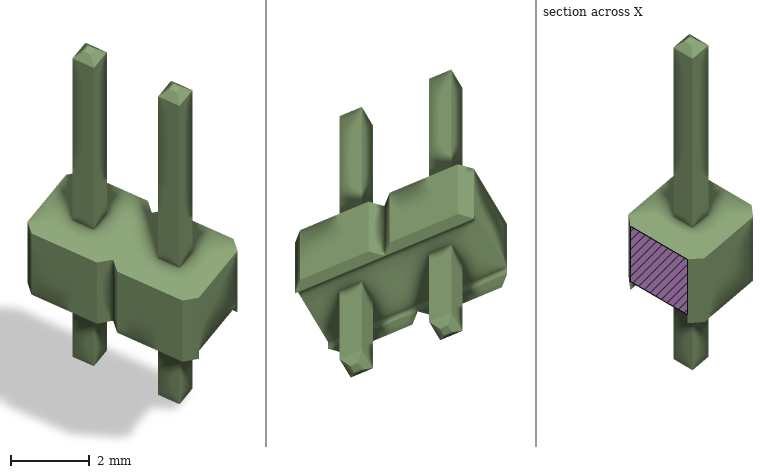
import cadquery as cq

pin_count = 2
pitch = 2.54
body_depth = 2.49
body_bottom = 3.01
body_height = 2.28
corner_chamfer = 0.3
groove_depth = 0.29

pin_length = 11.54
pin_width = 0.63
tip_height = 0.2
tip_width = 0.23

ridge_thickness = 0.31
groove_width = body_depth - 2 * ridge_thickness
row_length = pin_count * pitch
pin_positions = [(i - (pin_count - 1) / 2) * pitch for i in range(pin_count)]


def make_housing(x):
    """Block around one pin, with its vertical corners chamfered."""
    block = cq.Workplane("XY").box(pitch, body_depth, body_height, centered=(True, True, False))
    return block.edges("|Z").chamfer(corner_chamfer).translate((x, 0, body_bottom))


def make_tip(base_z, height):
    """Tapered pin end; a negative height points it downwards."""
    return (
        cq.Workplane("XY", origin=(0, 0, base_z))
        .rect(pin_width, pin_width)
        .workplane(offset=height)
        .rect(tip_width, tip_width)
        .loft(ruled=True)
    )


def make_pin(x):
    """Square pin tapered at both ends."""
    shaft_length = pin_length - 2 * tip_height
    shaft = (
        cq.Workplane("XY", origin=(0, 0, tip_height))
        .rect(pin_width, pin_width)
        .extrude(shaft_length)
    )
    lower_tip = make_tip(tip_height, -tip_height)
    upper_tip = make_tip(pin_length - tip_height, tip_height)
    return shaft.union(lower_tip).union(upper_tip).translate((x, 0, 0))


result = make_housing(pin_positions[0])
for position in pin_positions[1:]:
    result = result.union(make_housing(position))

groove = (
    cq.Workplane("XY", origin=(0, 0, body_bottom))
    .box(row_length, groove_width, groove_depth, centered=(True, True, False))
)
result = result.cut(groove)

for position in pin_positions:
    result = result.union(make_pin(position))